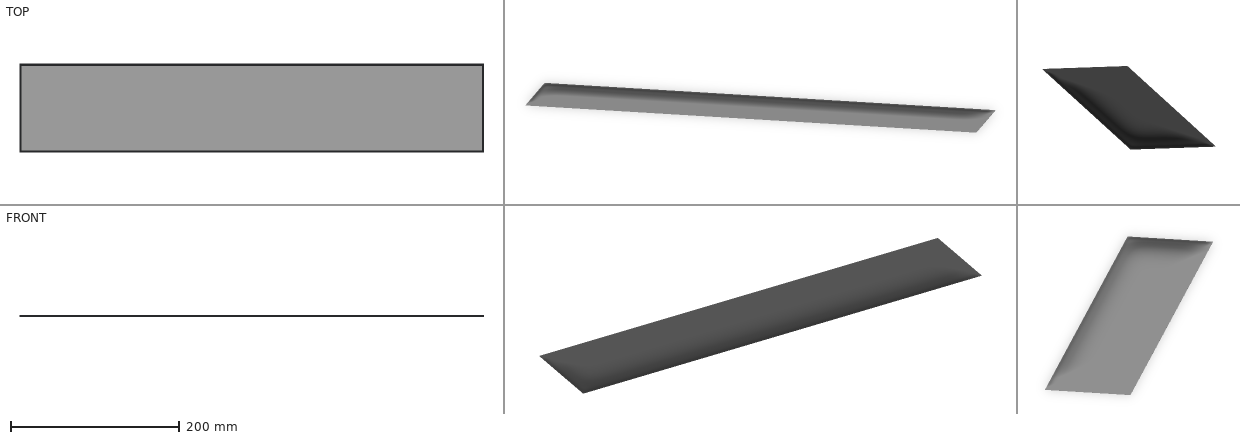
import cadquery as cq

length = 550.0
width = 103.5
thickness = 0.1

result = cq.Workplane("XY").box(length, width, thickness)